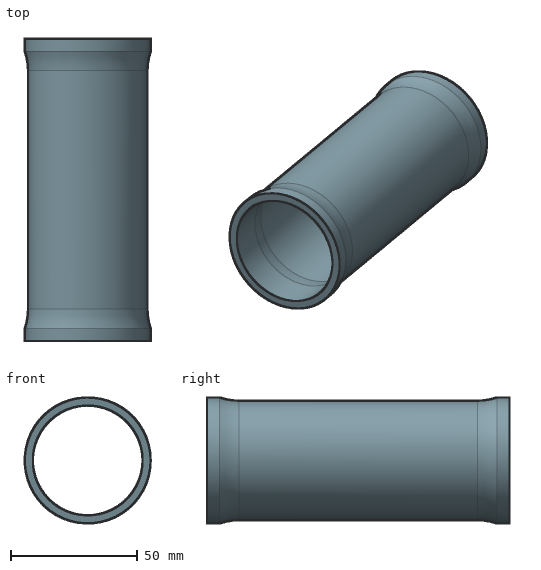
import cadquery as cq
import math

length = 120.0
end_diameter = 50.0
body_radius = 23.8
collar_length = 5.0
flare_end = 12.7

mouth_radius = 21.7
middle_radius = 22.5
mouth_depth = 14.8
taper_length = 6.0

half_length = length / 2
end_radius = end_diameter / 2
collar_y = half_length - collar_length
flare_y = half_length - flare_end
mouth_y = half_length - mouth_depth
taper_y = mouth_y - taper_length

flare_rise = end_radius - body_radius
flare_run = flare_end - collar_length
flare_arc_radius = (flare_run**2 + flare_rise**2) / (2 * flare_rise)
flare_mid_run = flare_run / 2
flare_mid_rise = flare_arc_radius - math.sqrt(flare_arc_radius**2 - flare_mid_run**2)
flare_mid_radius = body_radius + flare_mid_rise
flare_mid_y = flare_y + flare_mid_run


def revolve_about_y(profile):
    return profile.close().revolve(360, (0, 0, 0), (0, 1, 0))


def make_outside():
    profile = (
        cq.Workplane("XY")
        .moveTo(0, -half_length)
        .lineTo(end_radius, -half_length)
        .lineTo(end_radius, -collar_y)
        .threePointArc((flare_mid_radius, -flare_mid_y), (body_radius, -flare_y))
        .lineTo(body_radius, flare_y)
        .threePointArc((flare_mid_radius, flare_mid_y), (end_radius, collar_y))
        .lineTo(end_radius, half_length)
        .lineTo(0, half_length)
    )
    return revolve_about_y(profile)


def make_bore():
    profile = (
        cq.Workplane("XY")
        .moveTo(0, -half_length)
        .lineTo(mouth_radius, -half_length)
        .lineTo(mouth_radius, -mouth_y)
        .lineTo(middle_radius, -taper_y)
        .lineTo(middle_radius, taper_y)
        .lineTo(mouth_radius, mouth_y)
        .lineTo(mouth_radius, half_length)
        .lineTo(0, half_length)
    )
    return revolve_about_y(profile)


result = make_outside().cut(make_bore())